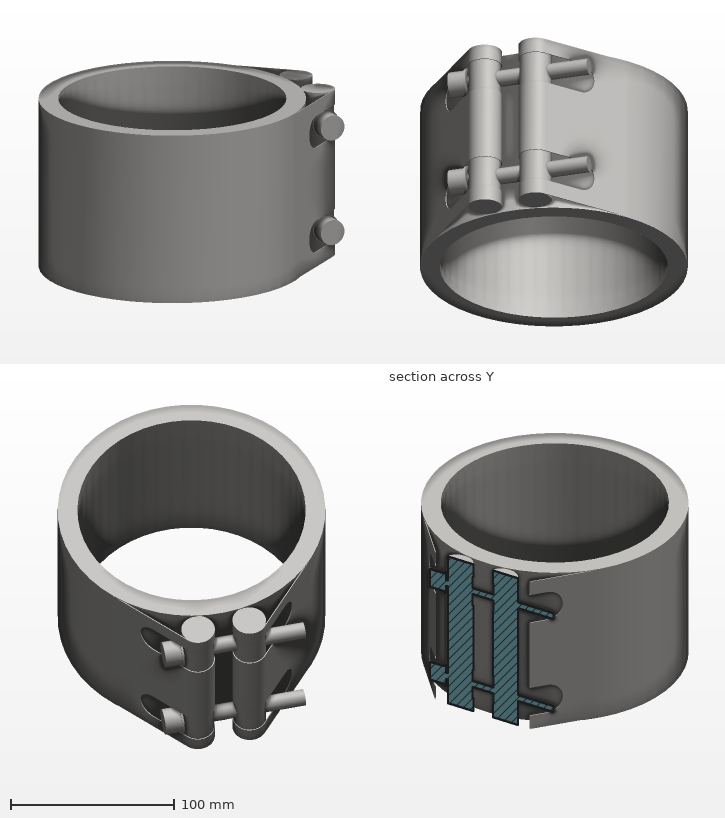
import cadquery as cq
import math

sleeve_diameter = 164.2
bore_diameter = 140.0
sleeve_height = 107.0
overall_depth = 183.5
sleeve_radius = sleeve_diameter / 2

strap_thickness = 0.5
edge_margin = 0.5
strap_height = sleeve_height - 2 * edge_margin

pin_diameter = 20.0
pin_x = 16.3
pin_radius = pin_diameter / 2
loop_radius = pin_radius + strap_thickness
pin_y = overall_depth - sleeve_radius - loop_radius

bolt_z = 33.4
shank_diameter = 10.0
shank_start_x = -50.6
washer_diameter = 18.0
washer_thickness = 1.3
washer_x = pin_x + pin_radius
head_diameter = 16.0
head_length = 10.3
head_x = washer_x + washer_thickness

slot_width = 20.0
slot_end_y = 70.5
slot_length = 55.0
slot_depth = 55.0

pin_distance = math.hypot(pin_x, pin_y)
pin_angle = math.atan2(pin_y, -pin_x)
arm_angle = pin_angle + math.acos((sleeve_radius - loop_radius) / pin_distance)
loop_end_angle = pin_angle - math.pi
loop_mid_angle = (arm_angle + loop_end_angle) / 2


def polar(radius, angle, center=(0, 0)):
    return (center[0] + radius * math.cos(angle), center[1] + radius * math.sin(angle))


def cylinder_x(diameter, start_x, length, z):
    plane = cq.Workplane("YZ", origin=(start_x, 0, 0))
    return plane.center(pin_y, z).circle(diameter / 2).extrude(length)


def sleeve():
    return (
        cq.Workplane("XY", origin=(0, 0, -sleeve_height / 2))
        .circle(sleeve_radius)
        .circle(bore_diameter / 2)
        .extrude(sleeve_height)
    )


def bolt_slot(z):
    slot_radius = slot_width / 2
    pin_direction = (math.sin(arm_angle), -math.cos(arm_angle), 0)
    outward = (math.cos(arm_angle), math.sin(arm_angle), 0)
    tangent_x, tangent_y = polar(sleeve_radius, arm_angle)
    end_distance = (slot_end_y - tangent_y) / pin_direction[1]
    across = cq.Vector(*pin_direction).cross(cq.Vector(*outward))
    arm_plane = cq.Plane(origin=(tangent_x, tangent_y, z), xDir=across.toTuple(), normal=outward)
    return (
        cq.Workplane(arm_plane)
        .moveTo(-slot_radius, end_distance + slot_radius)
        .threePointArc((0, end_distance), (slot_radius, end_distance + slot_radius))
        .lineTo(slot_radius, end_distance + slot_length)
        .lineTo(-slot_radius, end_distance + slot_length)
        .close()
        .extrude(slot_depth / 2, both=True)
    )


def left_strap():
    pin_center = (-pin_x, pin_y)
    strap = (
        cq.Workplane("XY", origin=(0, 0, -strap_height / 2))
        .moveTo(*polar(sleeve_radius, arm_angle))
        .lineTo(*polar(loop_radius, arm_angle, pin_center))
        .threePointArc(
            polar(loop_radius, loop_mid_angle, pin_center),
            polar(loop_radius, loop_end_angle, pin_center),
        )
        .lineTo(*polar(pin_radius, loop_end_angle, pin_center))
        .threePointArc(
            polar(pin_radius, loop_mid_angle, pin_center),
            polar(pin_radius, arm_angle, pin_center),
        )
        .lineTo(*polar(sleeve_radius - strap_thickness, arm_angle))
        .close()
        .extrude(strap_height)
    )
    for z in (-bolt_z, bolt_z):
        strap = strap.cut(bolt_slot(z))
    return strap


def pins():
    return (
        cq.Workplane("XY", origin=(0, 0, -strap_height / 2))
        .pushPoints([(-pin_x, pin_y), (pin_x, pin_y)])
        .circle(pin_radius)
        .extrude(strap_height)
    )


def bolt(z):
    shank = cylinder_x(shank_diameter, shank_start_x, head_x - shank_start_x, z)
    washer = cylinder_x(washer_diameter, washer_x, washer_thickness, z)
    head = cylinder_x(head_diameter, head_x, head_length, z)
    return shank.union(washer).union(head)


strap_half = left_strap()
result = sleeve().union(strap_half).union(strap_half.mirror("YZ")).union(pins())
for bolt_height in (-bolt_z, bolt_z):
    result = result.union(bolt(bolt_height))